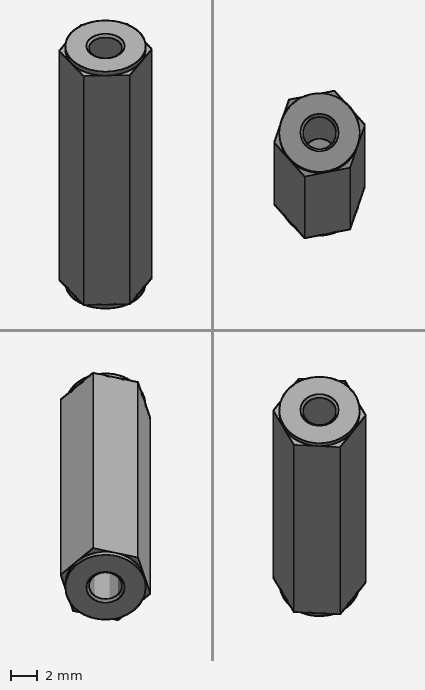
import cadquery as cq
import math

length = 23.0
across_flats = 6.0
collar_diameter = across_flats
collar_height = 0.4
hole_diameter = 2.45
hole_mouth_diameter = 2.85
hole_depth = 8.05

across_corners = across_flats / math.cos(math.pi / 6)
countersink_depth = (hole_mouth_diameter - hole_diameter) / 2
hex_length = length - 2 * collar_height


def make_body():
    """Hexagonal bar, centred on Z, inside a full-length round core that forms both collars."""
    core = cq.Workplane("XY").circle(collar_diameter / 2).extrude(length)
    hexagon = (
        cq.Workplane("XY")
        .workplane(offset=collar_height)
        .polygon(6, across_corners)
        .extrude(hex_length)
    )
    return core.union(hexagon)


def cut_end_hole(body, face):
    """Blind hole with a 45 degree lead-in, cut into one end face."""
    drilled = body.faces(face).workplane(centerOption="CenterOfBoundBox").hole(hole_diameter, hole_depth)
    return drilled.faces(face).edges(cq.selectors.RadiusNthSelector(0)).chamfer(countersink_depth)


result = make_body()
for end_face in (">Z", "<Z"):
    result = cut_end_hole(result, end_face)